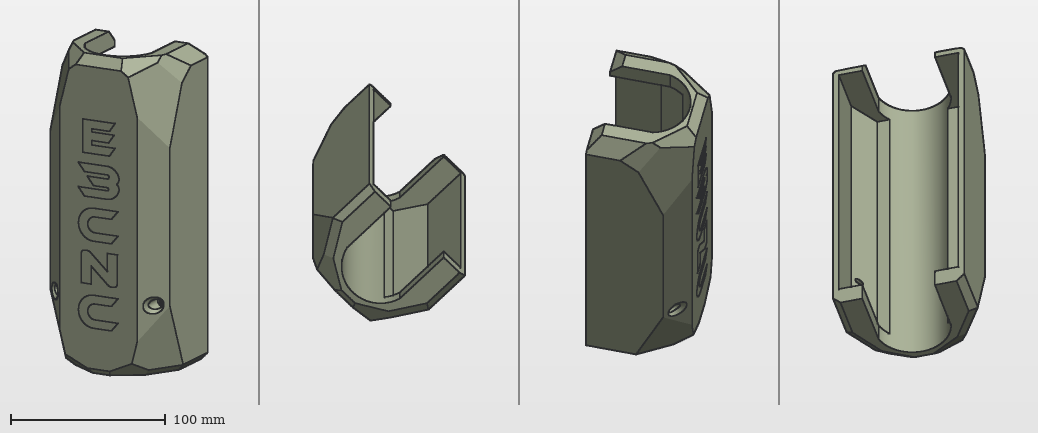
import cadquery as cq
import math

length = 213.3
width = 88.0
depth = 66.8
half_width = width / 2
front_y = -depth / 2
back_y = depth / 2
corner_cut = 15.5
corner_x = half_width - corner_cut
corner_y = front_y + corner_cut

top_side_chamfer = 10.0
top_back_chamfer = 8.0
top_front_chamfer = 6.6
bottom_side_chamfer = 5.1
bottom_front_chamfer = 4.0

taper_slope_x = 3.87
taper_slope_y = 2.43
taper_top_z = 177.3
taper_bottom_z = 26.5

top_side_facet_y = 10.7
top_side_facet_slopes = (2.08, 0.72)
top_front_facet_corner = (-21.8, 203.0)
top_front_facet_slopes = (0.72, 0.72)
bottom_front_facet_corner = (-24.0, 11.0)
bottom_front_facet_slopes = (0.45, 0.75)

channel_half_width = 24.3
channel_radius = 25.2
pocket_half_width = 40.0
pocket_wall_end_y = 3.2
pocket_floor_half_width = 27.7
pocket_floor_y = -16.0
lip = 12.2

screw_x = (half_width + corner_x) / 2
screw_z = 50.1
screw_hole_diameter = 3.6
screw_head_diameter = 6.6
screw_seat_y = -13.9
screw_entry_chamfer = 2.3

letter_depth = 2.1
stroke = 5.8
first_u_z = 101.0
second_u_z = 42.5

cut_size = 4 * length


def both_sides(tool):
    return [tool, tool.mirror("YZ")]


def outer_block():
    return (
        cq.Workplane("XY")
        .box(width, depth, length, centered=(True, True, False))
        .edges("|Z and <Y")
        .chamfer(corner_cut)
    )


def space_beyond(point, normal):
    """The half space on the outer side of a plane, as a large box."""
    plane = cq.Plane(origin=point, normal=normal)
    return cq.Workplane(plane).rect(cut_size, cut_size).extrude(cut_size)


def facet(point, slope_x, slope_y, end):
    """Cutter for a facet at the -X side, facing up (end = 1) or down (end = -1).

    Its plane climbs (or falls) towards the end face by slope_x per X and slope_y per Y.
    """
    return space_beyond(point, (-slope_x, -slope_y, end))


def trim(body, cutters):
    for cutter in cutters:
        body = body.cut(cutter)
    return body


def cut_end_chamfers(body):
    top_side = facet((-half_width, 0, length - top_side_chamfer), 1, 0, 1)
    top_front = facet((0, front_y, length - top_front_chamfer), 0, 1, 1)
    top_back = facet((0, back_y, length - top_back_chamfer), 0, -1, 1)
    bottom_side = facet((-half_width, 0, bottom_side_chamfer), 1, 0, -1)
    bottom_front = facet((0, front_y, bottom_front_chamfer), 0, 1, -1)
    body = trim(body, both_sides(top_side) + both_sides(bottom_side))
    return trim(body, [top_front, top_back, bottom_front])


def cut_corner_facets(body):
    top_taper = facet((-corner_x, front_y, taper_top_z), taper_slope_x, taper_slope_y, 1)
    side_facet_corner = (-half_width, top_side_facet_y, length - top_side_chamfer)
    top_side_facet = facet(side_facet_corner, *top_side_facet_slopes, 1)
    top_x, top_z = top_front_facet_corner
    top_front_facet = facet((top_x, front_y, top_z), *top_front_facet_slopes, 1)
    bottom_taper = facet((-corner_x, front_y, taper_bottom_z), taper_slope_x, taper_slope_y, -1)
    bottom_x, bottom_z = bottom_front_facet_corner
    bottom_front_facet = facet((bottom_x, front_y, bottom_z), *bottom_front_facet_slopes, -1)

    run = math.hypot(taper_slope_x, taper_slope_y)
    taper_angle = math.atan(run)
    foot_rise = bottom_side_chamfer * math.sin(taper_angle)
    foot_inset = bottom_side_chamfer * (1 + math.cos(taper_angle))
    foot_slope = foot_rise / foot_inset
    foot_y = front_y + (taper_bottom_z - foot_rise + taper_slope_x * corner_cut) / taper_slope_y
    bottom_foot = facet(
        (-half_width, foot_y, foot_rise),
        foot_slope * taper_slope_x / run,
        foot_slope * taper_slope_y / run,
        -1,
    )
    for cutter in (
        top_taper, top_side_facet, top_front_facet, bottom_taper, bottom_front_facet, bottom_foot,
    ):
        body = trim(body, both_sides(cutter))
    return body


def channel():
    """Through channel, open at +Y, with a bottom arc about the part's axis."""
    arc_end_y = -math.sqrt(channel_radius**2 - channel_half_width**2)
    return (
        cq.Workplane("XY")
        .moveTo(-channel_half_width, back_y)
        .lineTo(-channel_half_width, arc_end_y)
        .threePointArc((0, -channel_radius), (channel_half_width, arc_end_y))
        .lineTo(channel_half_width, back_y)
        .close()
        .extrude(length)
    )


def pocket():
    """Widening of the channel between the two end lips, its floor corners cut off clear of the tapers."""
    wall_end = (pocket_half_width, pocket_wall_end_y)
    floor_end = (pocket_floor_half_width, pocket_floor_y)
    return (
        cq.Workplane("XY", origin=(0, 0, lip))
        .moveTo(pocket_half_width, back_y)
        .lineTo(*wall_end)
        .lineTo(*floor_end)
        .lineTo(-floor_end[0], floor_end[1])
        .lineTo(-wall_end[0], wall_end[1])
        .lineTo(-pocket_half_width, back_y)
        .close()
        .extrude(length - 2 * lip)
    )


def cylinder_along_y(x, y_start, y_end, z, diameter):
    circle = cq.Workplane("XZ", origin=(x, y_end, z)).circle(diameter / 2)
    return circle.extrude(y_end - y_start)


def cut_screw_hole(body, x):
    head = cylinder_along_y(x, front_y, screw_seat_y, screw_z, screw_head_diameter)
    hole = cylinder_along_y(x, front_y, back_y, screw_z, screw_hole_diameter)
    face_y = (front_y + corner_y) / 2
    mouth = cq.selectors.NearestToPointSelector((x, face_y, screw_z))
    body = body.cut(head).edges(mouth).chamfer(screw_entry_chamfer)
    return body.cut(hole)


def inlay(outline):
    return outline.close().extrude(-letter_depth)


def front_sketch():
    return cq.Workplane("XZ", origin=(0, front_y, 0))


def letter_e():
    left, tip = -11.5, 12.2
    slant = 4.0
    spine = 6.6
    slot_left = left + spine
    top, bottom = 170.9, 148.5
    mid_top = 163.0
    mid_tip = 11.5
    return inlay(front_sketch().polyline([
        (left, top),
        (tip, top),
        (tip - slant, top - stroke),
        (slot_left, top - stroke),
        (slot_left, mid_top),
        (mid_tip, mid_top),
        (mid_tip - slant, mid_top - stroke),
        (slot_left, mid_top - stroke),
        (slot_left, bottom + stroke),
        (tip, bottom + stroke),
        (tip - slant, bottom),
        (left, bottom),
    ]))


def letter_m():
    tip, mid_tip = -15.0, -8.3
    slant = 4.7
    top, bottom = 141.5, 119.3
    mid = (top + bottom) / 2
    mid_top = 133.0
    slot_end = 6.5
    lobe_start = 5.8
    upper_slot = (top - stroke - mid_top) / 2
    lower_slot = (mid_top - 2 * stroke - bottom) / 2
    shoulder = (12.2, 9.0)
    bulge = (15.1, 4.0)
    waist = (14.7, 1.5)
    notch_x = 13.5
    return inlay(
        front_sketch()
        .moveTo(tip, top)
        .lineTo(lobe_start, top)
        .threePointArc((shoulder[0], mid + shoulder[1]), (bulge[0], mid + bulge[1]))
        .threePointArc((waist[0], mid + waist[1]), (notch_x, mid))
        .threePointArc((waist[0], mid - waist[1]), (bulge[0], mid - bulge[1]))
        .threePointArc((shoulder[0], mid - shoulder[1]), (lobe_start, bottom))
        .lineTo(tip + slant, bottom)
        .lineTo(tip, bottom + stroke)
        .lineTo(slot_end, bottom + stroke)
        .threePointArc(
            (slot_end + lower_slot, bottom + stroke + lower_slot), (slot_end, mid_top - stroke)
        )
        .lineTo(mid_tip + slant, mid_top - stroke)
        .lineTo(mid_tip, mid_top)
        .lineTo(slot_end, mid_top)
        .threePointArc((slot_end + upper_slot, mid_top + upper_slot), (slot_end, top - stroke))
        .lineTo(tip + slant, top - stroke)
    )


def letter_u(z):
    """U lying on its side, open at +X, centred at height z."""
    tip, slant = 14.3, 4.7
    outer = 11.0
    inner = outer - stroke
    outer_x, inner_x = -3.6, -2.5
    return inlay(
        front_sketch()
        .moveTo(tip, z + outer)
        .lineTo(outer_x, z + outer)
        .threePointArc((outer_x - outer, z), (outer_x, z - outer))
        .lineTo(tip - slant, z - outer)
        .lineTo(tip, z - inner)
        .lineTo(inner_x, z - inner)
        .threePointArc((inner_x - inner, z), (inner_x, z + inner))
        .lineTo(tip - slant, z + inner)
    )


def letter_z():
    center_x, center_z = 0.53, 71.9
    half_x, half_z = 13.2, 11.0
    stem = 7.3
    notch_z = 1.0
    corner_radius, bend_radius = 2.5, 3.2
    bend_x = 7.5
    half_outline = [
        (-half_x, half_z),
        (-bend_x, half_z),
        (half_x - stem, -notch_z),
        (half_x - stem, half_z),
        (half_x, half_z),
    ]
    outline = half_outline + [(-x, -z) for x, z in half_outline]
    letter = inlay(front_sketch().polyline([(center_x + x, center_z + z) for x, z in outline]))
    for side in (-1, 1):
        for corner_half_x, radius in ((half_x, corner_radius), (bend_x, bend_radius)):
            corner = (
                center_x + side * corner_half_x,
                front_y + letter_depth / 2,
                center_z - side * half_z,
            )
            letter = letter.edges(cq.selectors.NearestToPointSelector(corner)).fillet(radius)
    return letter


letters = [letter_e(), letter_m(), letter_u(first_u_z), letter_z(), letter_u(second_u_z)]

housing = cut_corner_facets(cut_end_chamfers(outer_block()))
housing = housing.cut(channel()).cut(pocket())
for side in (-1, 1):
    housing = cut_screw_hole(housing, side * screw_x)
for letter in letters:
    housing = housing.cut(letter)

result = cq.Compound.makeCompound([housing.val(), *[letter.val() for letter in letters]])